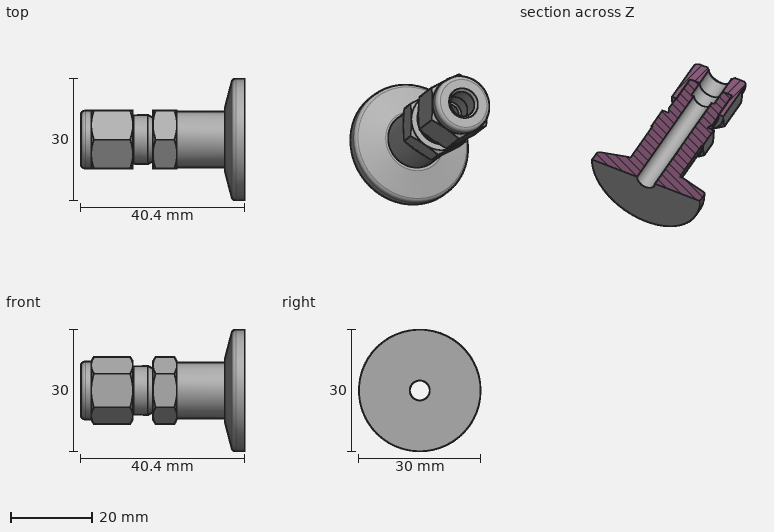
import cadquery as cq
import math

total_length = 40.35

hex_across_flats = 14.32
hex_flat_radius = hex_across_flats / 2
hex_corner_radius = hex_flat_radius / math.cos(math.radians(30))
hex_chamfer_angle = 30.0

collar_radius = 7.15
collar_length = 2.6
collar_fillet = 1.05
nut_end = 12.8
socket_start = 5.65
tube_hole_radius = 3.1
mouth_radius = 3.8
mouth_depth = mouth_radius - tube_hole_radius

shank_radius = 5.75
neck_front_radius = 6.0
neck_radius = 6.1
neck_start = nut_end
neck_chamfer_length = 0.2
neck_taper_start = 16.45
neck_root_radius = 5.4

body_hex_start = 17.75
body_hex_end = 23.65
body_tube_radius = 6.9
bore_radius = 2.42
tube_socket_end = 10.0

flange_diameter = 30.0
flange_radius = flange_diameter / 2
flange_face_start = 35.35
flange_face_radius = 7.6
flange_rim_start = 38.1
flange_fillet = 1.05
flange_cone_angle = 15.0


def cylinder(radius, start, end):
    """Solid cylinder along X between two stations."""
    return cq.Workplane("YZ", origin=(start, 0, 0)).circle(radius).extrude(end - start)


def revolve_profile(profile):
    """Turn a closed (x, radius) profile about the X axis."""
    return profile.close().revolve(360, (0, 0, 0), (1, 0, 0))


def chamfered_hexagon(start, end):
    """Hexagonal prism along X with its corners turned off conically at both ends."""
    prism = (
        cq.Workplane("YZ", origin=(start, 0, 0))
        .polygon(6, 2 * hex_corner_radius)
        .extrude(end - start)
        .rotate((0, 0, 0), (1, 0, 0), 90)
    )
    chamfer_length = (hex_corner_radius - hex_flat_radius) * math.tan(math.radians(hex_chamfer_angle))
    envelope = revolve_profile(
        cq.Workplane("XY")
        .moveTo(start, 0)
        .lineTo(start, hex_flat_radius)
        .lineTo(start + chamfer_length, hex_corner_radius)
        .lineTo(end - chamfer_length, hex_corner_radius)
        .lineTo(end, hex_flat_radius)
        .lineTo(end, 0)
    )
    return prism.intersect(envelope)


def make_nut():
    """Hexagonal nut with a rounded collar, a countersunk tube hole and a rear socket."""
    collar = cylinder(collar_radius, 0, collar_length).faces("<X").edges().fillet(collar_fillet)
    tube_hole = cylinder(tube_hole_radius, 0, socket_start)
    mouth = revolve_profile(
        cq.Workplane("XY")
        .moveTo(0, 0)
        .lineTo(0, mouth_radius)
        .lineTo(mouth_depth, tube_hole_radius)
        .lineTo(mouth_depth, 0)
    )
    socket = cylinder(shank_radius, socket_start, nut_end)
    nut = collar.union(chamfered_hexagon(collar_length, nut_end))
    return nut.cut(tube_hole).cut(mouth).cut(socket)


def make_neck():
    """Shank inside the nut, then the wider, slightly flared neck that tapers down to the body hexagon."""
    return revolve_profile(
        cq.Workplane("XY")
        .moveTo(socket_start, 0)
        .lineTo(socket_start, shank_radius)
        .lineTo(neck_start, shank_radius)
        .lineTo(neck_start + neck_chamfer_length, neck_front_radius)
        .lineTo(neck_taper_start, neck_radius)
        .lineTo(body_hex_start, neck_root_radius)
        .lineTo(body_hex_start, 0)
    )


def make_flange():
    """Flange disc with a conical front and a rounded edge tangent to cone and rim."""
    slope = math.radians(flange_cone_angle)
    fillet_center_radius = flange_radius - flange_fillet

    def fillet_point(angle):
        """Point on the edge rounding, angle measured from the -X direction."""
        return (
            flange_rim_start - flange_fillet * math.cos(angle),
            fillet_center_radius + flange_fillet * math.sin(angle),
        )

    return revolve_profile(
        cq.Workplane("XY")
        .moveTo(flange_face_start, 0)
        .lineTo(flange_face_start, flange_face_radius)
        .lineTo(*fillet_point(slope))
        .threePointArc(fillet_point((slope + math.pi / 2) / 2), fillet_point(math.pi / 2))
        .lineTo(total_length, flange_radius)
        .lineTo(total_length, 0)
    )


def make_fitting_body():
    """Neck, hexagon, tube and flange in one piece, with a tube socket and a through bore."""
    body = make_neck().union(chamfered_hexagon(body_hex_start, body_hex_end))
    body = body.union(cylinder(body_tube_radius, body_hex_end, flange_face_start))
    body = body.union(make_flange())
    bore = cylinder(bore_radius, socket_start, total_length)
    tube_socket = cylinder(tube_hole_radius, socket_start, tube_socket_end)
    return body.cut(bore).cut(tube_socket)


nut = make_nut()
fitting_body = make_fitting_body()

result = cq.Compound.makeCompound([nut.val(), fitting_body.val()])